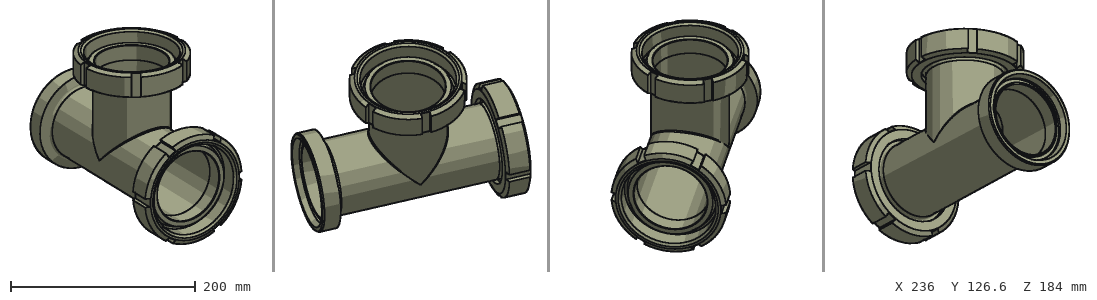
import cadquery as cq
import math


PIPE_RADIUS = 42.5
BORE_RADIUS = 40.47
TEE_REACH = 90.2
WELD_GROWTH = 0.03

SOCKET_REACH = 115.5
SOCKET_RADIUS = 55.0
SOCKET_RIM_LENGTH = 1.7
SOCKET_RIM_DROP = 1.2
COLLAR_LENGTH = 20.0
BACK_CONE_LENGTH = 1.7
BACK_FILLET = 2.8
MOUTH_RADIUS = 49.5
SEAT_RADIUS = 47.0
SEAT_CONE_DEPTH = 7.0
GROOVE_DEPTH = 10.1
LIP_RADIUS = 42.5
LIP_DEPTH = 7.8

NUT_REACH = 120.5
NUT_RADIUS = 63.5
NUT_LENGTH = 29.0
NUT_CHAMFER_LENGTH = 2.8
NUT_CHAMFER_DROP = 5.5
NUT_BORE_RADIUS = 52.2
NUT_MOUTH_CHAMFER_WIDTH = 3.0
NUT_MOUTH_CHAMFER_DEPTH = 2.1
NUT_FLANGE = 5.7
NUT_FLANGE_BORE_RADIUS = 47.5
SLOT_COUNT = 6
SLOT_WIDTH = 10.1
SLOT_FLOOR = 58.5

COLLAR_RADIUS = NUT_BORE_RADIUS
LINER_CONE_RADIUS = 49.3
LINER_TIP_RADIUS = 46.7
LINER_TIP_DEPTH = 12.5
LINER_SHOULDER_DEPTH = 19.5
LINER_FILLET = 2.4
LINER_EDGE_CHAMFER = 0.6

SOCKET_MOUTH = SOCKET_REACH - TEE_REACH
NUT_MOUTH = NUT_REACH - TEE_REACH
NUT_BACK = NUT_MOUTH - NUT_LENGTH
NUT_SEAT = NUT_BACK + NUT_FLANGE

ARC_MIDDLE = 1 - math.sqrt(0.5)


def revolve(outline):
    """Close an outline of (radius, height) points and turn it about the Z axis."""
    return outline.close().revolve(360, (0, 0, 0), (0, 1, 0))


def crossing_cylinders(radius):
    run = cq.Workplane("YZ").circle(radius).extrude(TEE_REACH, both=True)
    branch = cq.Workplane("XY").circle(radius).extrude(TEE_REACH)
    return run.union(branch)


def crotch_weld(side):
    """Weld in the corner between branch and run, tapering to nothing at the pipe's half height."""
    bar_height = PIPE_RADIUS * (2 + WELD_GROWTH) / math.sqrt(2)
    bar_plane = cq.Plane(origin=(0, 0, 0), xDir=(0, 1, 0), normal=(side, 0, -1))
    bar = cq.Workplane(bar_plane).ellipse(PIPE_RADIUS, bar_height).extrude(TEE_REACH, both=True)
    quadrant = cq.Workplane("XY").box(TEE_REACH, 2 * TEE_REACH, TEE_REACH)
    return bar.intersect(quadrant.translate((side * TEE_REACH / 2, 0, TEE_REACH / 2)))


def make_tee():
    tee = crossing_cylinders(PIPE_RADIUS)
    for side in (-1, 1):
        tee = tee.union(crotch_weld(side))
    return tee.cut(crossing_cylinders(BORE_RADIUS))


def make_socket():
    collar_back = SOCKET_MOUTH - COLLAR_LENGTH
    fillet_top = collar_back - BACK_CONE_LENGTH
    fillet_middle = BACK_FILLET * ARC_MIDDLE
    seat_end = SOCKET_MOUTH - SEAT_CONE_DEPTH
    groove_floor = SOCKET_MOUTH - GROOVE_DEPTH
    lip_face = SOCKET_MOUTH - LIP_DEPTH
    return revolve(
        cq.Workplane("XZ")
        .moveTo(BORE_RADIUS, 0)
        .lineTo(PIPE_RADIUS, 0)
        .lineTo(PIPE_RADIUS, fillet_top - BACK_FILLET)
        .threePointArc(
            (PIPE_RADIUS + fillet_middle, fillet_top - fillet_middle),
            (PIPE_RADIUS + BACK_FILLET, fillet_top),
        )
        .lineTo(SOCKET_RADIUS, collar_back)
        .lineTo(SOCKET_RADIUS, SOCKET_MOUTH - SOCKET_RIM_LENGTH)
        .lineTo(SOCKET_RADIUS - SOCKET_RIM_DROP, SOCKET_MOUTH)
        .lineTo(MOUTH_RADIUS, SOCKET_MOUTH)
        .lineTo(SEAT_RADIUS, seat_end)
        .lineTo(SEAT_RADIUS, groove_floor)
        .lineTo(LIP_RADIUS, groove_floor)
        .lineTo(LIP_RADIUS, lip_face)
        .lineTo(BORE_RADIUS, lip_face)
    )


def make_liner():
    tip = NUT_MOUTH - LINER_TIP_DEPTH
    shoulder = NUT_MOUTH - LINER_SHOULDER_DEPTH
    fillet_middle = LINER_FILLET * ARC_MIDDLE
    return revolve(
        cq.Workplane("XZ")
        .moveTo(BORE_RADIUS, 0)
        .lineTo(PIPE_RADIUS, 0)
        .lineTo(PIPE_RADIUS, NUT_SEAT - LINER_FILLET)
        .threePointArc(
            (PIPE_RADIUS + fillet_middle, NUT_SEAT - fillet_middle),
            (PIPE_RADIUS + LINER_FILLET, NUT_SEAT),
        )
        .lineTo(COLLAR_RADIUS, NUT_SEAT)
        .lineTo(COLLAR_RADIUS, shoulder)
        .lineTo(LINER_CONE_RADIUS, shoulder)
        .lineTo(LINER_TIP_RADIUS, tip)
        .lineTo(BORE_RADIUS + LINER_EDGE_CHAMFER, tip)
        .lineTo(BORE_RADIUS, tip - LINER_EDGE_CHAMFER)
    )


def make_nut():
    rim_radius = NUT_RADIUS - NUT_CHAMFER_DROP
    ring = revolve(
        cq.Workplane("XZ")
        .moveTo(NUT_FLANGE_BORE_RADIUS, NUT_BACK)
        .lineTo(rim_radius, NUT_BACK)
        .lineTo(NUT_RADIUS, NUT_BACK + NUT_CHAMFER_LENGTH)
        .lineTo(NUT_RADIUS, NUT_MOUTH - NUT_CHAMFER_LENGTH)
        .lineTo(rim_radius, NUT_MOUTH)
        .lineTo(NUT_BORE_RADIUS + NUT_MOUTH_CHAMFER_WIDTH, NUT_MOUTH)
        .lineTo(NUT_BORE_RADIUS, NUT_MOUTH - NUT_MOUTH_CHAMFER_DEPTH)
        .lineTo(NUT_BORE_RADIUS, NUT_SEAT)
        .lineTo(NUT_FLANGE_BORE_RADIUS, NUT_SEAT)
    )
    slots = (
        cq.Workplane("XY", origin=(0, 0, NUT_BACK))
        .polarArray(SLOT_FLOOR + SLOT_WIDTH / 2, 90, 360, SLOT_COUNT)
        .rect(SLOT_WIDTH, SLOT_WIDTH)
        .extrude(NUT_LENGTH)
    )
    return ring.cut(slots)


def place_on_end(part, angle):
    """Set a fitting on a tee end: angle about Y is 0 for +Z, 90 for +X and -90 for -X."""
    return part.translate((0, 0, TEE_REACH)).rotate((0, 0, 0), (0, 1, 0), angle)


tee = make_tee()
socket = place_on_end(make_socket(), -90)

liners = []
nuts = []
for angle in (0, 90):
    liners.append(place_on_end(make_liner(), angle).val())
    nuts.append(place_on_end(make_nut(), angle).val())

result = cq.Compound.makeCompound([tee.val(), socket.val(), *liners, *nuts])